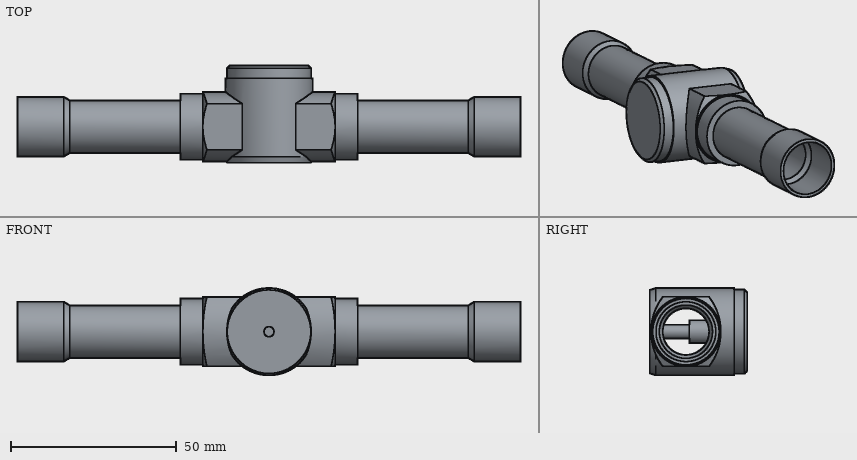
import cadquery as cq
import math

OVERALL_LENGTH = 152
TUBE_DIAMETER = 16.0
TUBE_BORE = 14.0
SOCKET_DIAMETER = 18.1
SOCKET_BORE = 16.1
SOCKET_LENGTH = 14.0
SOCKET_TAPER_LENGTH = 1.8

COLLAR_DIAMETER = 20.0
COLLAR_SPAN = 53.5
ARM_SPAN = 40.0
ARM_HEIGHT = 21.0
ARM_WIDTH = 21.1
ARM_FLAT_WIDTH = 14.0
ARM_CHAMFER_ANGLE = 30

HOUSING_DIAMETER = 26.5
HOUSING_FRONT = -11.0
HOUSING_LENGTH = 29.5
FRONT_CHAMFER_LENGTH = 1.8
FRONT_CHAMFER_DEPTH = 0.6
NECK_DIAMETER = 25.5
NECK_LENGTH = 4.0
NECK_CHAMFER = 0.9

STEM_DIAMETER = 7.0
STEM_TIP_DIAMETER = 4.3
STEM_SHOULDER = 1.0
FRONT_HOLE_DIAMETER = 3
FRONT_HOLE_DEPTH = 1.5

HALF_LENGTH = OVERALL_LENGTH / 2
SOCKET_START = HALF_LENGTH - SOCKET_LENGTH
TAPER_START = SOCKET_START - SOCKET_TAPER_LENGTH
HOUSING_BACK = HOUSING_FRONT + HOUSING_LENGTH


def rod_x(diameter, length):
    """Cylinder along X, centred on the origin."""
    return cq.Workplane("YZ").circle(diameter / 2).extrude(length / 2, both=True)


def rod_y(diameter, start, end):
    """Cylinder along Y between two positions."""
    return cq.Workplane("XZ", origin=(0, start, 0)).circle(diameter / 2).extrude(start - end)


def socketed_rod(middle_diameter, end_diameter):
    """Rod along X that widens through a taper to a larger diameter at both ends."""
    middle = middle_diameter / 2
    end = end_diameter / 2
    return (
        cq.Workplane("XY")
        .moveTo(-HALF_LENGTH, 0)
        .lineTo(-HALF_LENGTH, end)
        .lineTo(-SOCKET_START, end)
        .lineTo(-TAPER_START, middle)
        .lineTo(TAPER_START, middle)
        .lineTo(SOCKET_START, end)
        .lineTo(HALF_LENGTH, end)
        .lineTo(HALF_LENGTH, 0)
        .close()
        .revolve(360, (0, 0, 0), (1, 0, 0))
    )


def arms():
    """Bar with flat top and bottom and bulged sides, its corners chamfered by a cone at each end."""
    y_flat = ARM_FLAT_WIDTH / 2
    y_side = ARM_WIDTH / 2
    z_flat = ARM_HEIGHT / 2
    bar = (
        cq.Workplane("YZ")
        .moveTo(-y_flat, z_flat)
        .lineTo(y_flat, z_flat)
        .threePointArc((y_side, 0), (y_flat, -z_flat))
        .lineTo(-y_flat, -z_flat)
        .threePointArc((-y_side, 0), (-y_flat, z_flat))
        .close()
        .extrude(ARM_SPAN / 2, both=True)
    )
    middle_radius = z_flat + ARM_SPAN / 2 / math.tan(math.radians(ARM_CHAMFER_ANGLE))
    double_cone = (
        cq.Workplane("XY")
        .moveTo(-ARM_SPAN / 2, 0)
        .lineTo(-ARM_SPAN / 2, z_flat)
        .lineTo(0, middle_radius)
        .lineTo(ARM_SPAN / 2, z_flat)
        .lineTo(ARM_SPAN / 2, 0)
        .close()
        .revolve(360, (0, 0, 0), (1, 0, 0))
    )
    return bar.intersect(double_cone)


def housing():
    """Cylinder with a chamfered front rim and a narrower, chamfered neck at the back."""
    barrel = HOUSING_DIAMETER / 2
    neck = NECK_DIAMETER / 2
    return (
        cq.Workplane("XY")
        .moveTo(0, HOUSING_FRONT)
        .lineTo(barrel - FRONT_CHAMFER_DEPTH, HOUSING_FRONT)
        .lineTo(barrel, HOUSING_FRONT + FRONT_CHAMFER_LENGTH)
        .lineTo(barrel, HOUSING_BACK - NECK_LENGTH)
        .lineTo(neck, HOUSING_BACK - NECK_LENGTH)
        .lineTo(neck, HOUSING_BACK - NECK_CHAMFER)
        .lineTo(neck - NECK_CHAMFER, HOUSING_BACK)
        .lineTo(0, HOUSING_BACK)
        .close()
        .revolve(360, (0, 0, 0), (0, 1, 0))
    )


def stem():
    """Stem from the back of the housing, stepping down to a thin tip that meets the front wall."""
    shank = rod_y(STEM_DIAMETER, STEM_SHOULDER, TUBE_DIAMETER / 2)
    tip = rod_y(STEM_TIP_DIAMETER, -TUBE_DIAMETER / 2, STEM_SHOULDER)
    return shank.union(tip)


front_hole = rod_y(FRONT_HOLE_DIAMETER, HOUSING_FRONT, HOUSING_FRONT + FRONT_HOLE_DEPTH)

outside = (
    socketed_rod(TUBE_DIAMETER, SOCKET_DIAMETER)
    .union(rod_x(COLLAR_DIAMETER, COLLAR_SPAN))
    .union(arms())
    .union(housing())
)
hollow = outside.cut(socketed_rod(TUBE_BORE, SOCKET_BORE))
result = hollow.union(stem()).cut(front_hole)